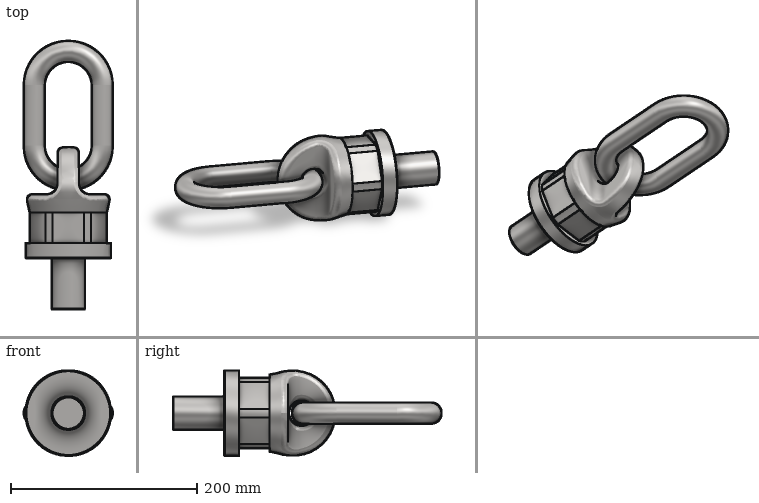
import cadquery as cq
import math


shank_diameter = 36.0
shank_length = 55.0
shank_end_chamfer = 1.0
shank_root_fillet = 0.9
flange_diameter = 92.0
flange_thickness = 16.3
flange_edge_chamfer = 0.9
hexagon_across_flats = 76.0
hexagon_corner_diameter = 83.0
hexagon_top = 49.0

head_radius = 46.0
cone_angle = math.radians(13)
cone_base_radius = hexagon_corner_diameter / 2
lug_thickness = 23.0
lug_root_radius = 12.0
shoulder_height = 69.0
eye_edge_fillet = 6.0
eye_hole_diameter = 27.0
eye_hole_fillet = 6.0
eye_hole_gap = 0.9

tangent_radius = head_radius * math.cos(cone_angle)
tangent_height = hexagon_top + (tangent_radius - cone_base_radius) / math.tan(cone_angle)
head_center = tangent_height + head_radius * math.sin(cone_angle)
eye_hole_center = shoulder_height + eye_hole_gap + eye_hole_diameter / 2

link_bar_diameter = 23.0
link_width = 96.0
link_straight_length = 65.0
overall_length = 288.85
link_top = overall_length - shank_length
link_bend_radius = (link_width - link_bar_diameter) / 2
link_upper_center = link_top - link_width / 2
link_lower_center = link_upper_center - link_straight_length


def plane_across_y(x, y):
    """Plane square to the Y axis, with its origin at the given X and Y."""
    return cq.Plane(origin=(x, y, 0), xDir=(1, 0, 0), normal=(0, 1, 0))


def make_base():
    """Shank, round flange and wrench hexagon in one piece."""
    shank_radius = shank_diameter / 2
    flange_radius = flange_diameter / 2
    root_arc_sag = shank_root_fillet * (1 - math.cos(math.pi / 4))
    turned = (
        cq.Workplane("XY")
        .moveTo(0, -shank_length)
        .lineTo(shank_radius - shank_end_chamfer, -shank_length)
        .lineTo(shank_radius, -shank_length + shank_end_chamfer)
        .lineTo(shank_radius, -shank_root_fillet)
        .threePointArc(
            (shank_radius + root_arc_sag, -root_arc_sag),
            (shank_radius + shank_root_fillet, 0),
        )
        .lineTo(flange_radius - flange_edge_chamfer, 0)
        .lineTo(flange_radius, flange_edge_chamfer)
        .lineTo(flange_radius, flange_thickness)
        .lineTo(0, flange_thickness)
        .close()
        .revolve(360, (0, 0, 0), (0, 1, 0))
    )

    hexagon_height = hexagon_top - flange_thickness
    across_corners = hexagon_across_flats / math.cos(math.pi / 6)
    hexagon_plane = plane_across_y(0, flange_thickness)
    hexagon = cq.Workplane(hexagon_plane).polygon(6, across_corners).extrude(hexagon_height)
    corner_limit = cq.Workplane(hexagon_plane).circle(hexagon_corner_diameter / 2).extrude(hexagon_height)
    return turned.union(hexagon.intersect(corner_limit))


def make_eye():
    """Head with a shoulder ring at its foot and an upright lug that carries the link."""
    head = (
        cq.Workplane("XY")
        .moveTo(0, hexagon_top)
        .lineTo(cone_base_radius, hexagon_top)
        .lineTo(tangent_radius, tangent_height)
        .threePointArc(
            (head_radius * math.cos(math.pi / 4), head_center + head_radius * math.sin(math.pi / 4)),
            (0, head_center + head_radius),
        )
        .close()
        .revolve(360, (0, 0, 0), (0, 1, 0))
    )

    lug_side = lug_thickness / 2
    clear_x = lug_side + 2 * head_radius
    clear_y = shoulder_height + 2 * head_radius
    side_clearance = (
        cq.Workplane("XY")
        .moveTo(lug_side, clear_y)
        .lineTo(lug_side, shoulder_height + lug_root_radius)
        .radiusArc((lug_side + lug_root_radius, shoulder_height), -lug_root_radius)
        .lineTo(clear_x, shoulder_height)
        .lineTo(clear_x, clear_y)
        .close()
        .extrude(head_radius, both=True)
    )
    eye = head.cut(side_clearance).cut(side_clearance.mirror("YZ"))
    eye = eye.faces("|X").edges("%CIRCLE").fillet(eye_edge_fillet)

    hole = (
        cq.Workplane("YZ")
        .center(eye_hole_center, 0)
        .circle(eye_hole_diameter / 2)
        .extrude(lug_side + lug_root_radius, both=True)
    )
    eye = eye.cut(hole)
    return eye.faces("|X").edges("%CIRCLE").fillet(eye_hole_fillet)


def make_link():
    """Oval link of round bar, hanging in the hole of the eye."""
    path = (
        cq.Workplane("XY")
        .moveTo(link_bend_radius, link_lower_center)
        .lineTo(link_bend_radius, link_upper_center)
        .threePointArc((0, link_upper_center + link_bend_radius), (-link_bend_radius, link_upper_center))
        .lineTo(-link_bend_radius, link_lower_center)
        .threePointArc((0, link_lower_center - link_bend_radius), (link_bend_radius, link_lower_center))
        .close()
    )
    bar_plane = plane_across_y(link_bend_radius, link_lower_center)
    return cq.Workplane(bar_plane).circle(link_bar_diameter / 2).sweep(path)


base = make_base()
eye = make_eye()
link = make_link()

result = cq.Compound.makeCompound([base.val(), eye.val(), link.val()])